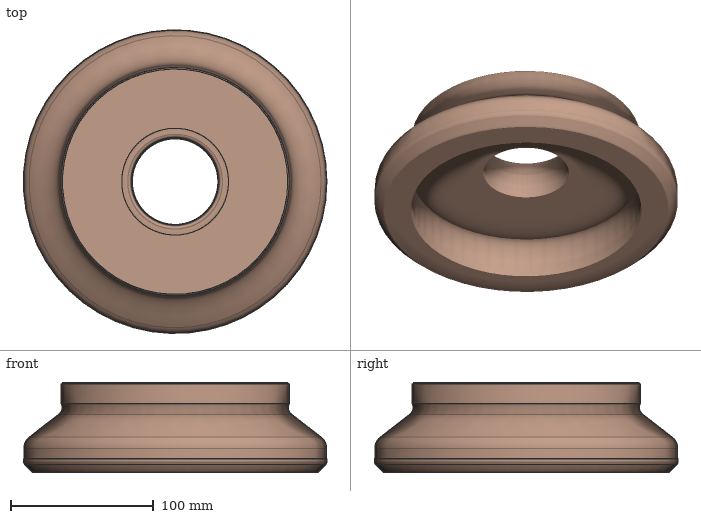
import cadquery as cq
import math

outer_diameter = 212.8
total_height = 63.0
outer_radius = outer_diameter / 2

hub_radius = 80.0
hub_edge_chamfer = 1.0
hub_wall_height = 14.7
hub_foot_bevel_width = 0.2
hub_thickness = 31.3

flank_angle = 37.5
neck_radius = 79.4
neck_arc_radius = 6.0
neck_arc_center_z = 45.5
shoulder_arc_radius = 9.8
shoulder_bottom_z = 17.0

seat_radius = 37.5
seat_depth = 0.5

bore_radius = 30.0
relief_radius = 30.5
mouth_radius = 31.0
mouth_fillet = 2.1
lead_in_depth = 7.0
relief_depth = 12.0

cavity_radius = 80.9
ring_height = 10.0
rim_setback = 0.2
ring_top_bevel = 0.6
ring_band_bottom_z = 7.5
ring_easing_z = 6.5
ring_easing_inset = 0.2
ring_bevel_top_z = 5.7
ring_bevel_inset = 0.6
ring_bevel_angle = 45.0
ring_foot_height = 0.6
ring_foot_width = 0.9

hub_foot_z = total_height - hub_wall_height
hub_floor_z = total_height - hub_thickness
seat_z = total_height - seat_depth
rim_radius = outer_radius - rim_setback


def arc_point(center, radius, angle):
    """Return the (r, z) point of an arc at an angle in degrees from the outward direction."""
    turn = math.radians(angle)
    return (center[0] + radius * math.cos(turn), center[1] + radius * math.sin(turn))


def revolve_profile(profile):
    """Turn a closed (r, z) profile a full revolution about the Z axis."""
    return profile.revolve(360, (0, 0, 0), (0, 1, 0))


def make_body():
    """Flanged wheel body with hub, flared flank, stepped bore and open cavity below."""
    neck_start_radius = hub_radius - hub_foot_bevel_width
    neck_center = (neck_radius + neck_arc_radius, neck_arc_center_z)
    neck_start_cosine = (neck_center[0] - neck_start_radius) / neck_arc_radius
    neck_start_angle = 180 - math.degrees(math.acos(neck_start_cosine))
    neck_end_angle = 270 - flank_angle
    neck_middle_angle = (neck_start_angle + neck_end_angle) / 2

    shoulder_center = (rim_radius - shoulder_arc_radius, shoulder_bottom_z)
    shoulder_start_angle = 90 - flank_angle

    mouth_center = (mouth_radius + mouth_fillet, seat_z - mouth_fillet)
    mouth_middle_angle = (90 + 180) / 2

    profile = (
        cq.Workplane("XZ")
        .moveTo(seat_radius, total_height)
        .lineTo(hub_radius - hub_edge_chamfer, total_height)
        .lineTo(hub_radius, total_height - hub_edge_chamfer)
        .lineTo(hub_radius, hub_foot_z)
        .lineTo(*arc_point(neck_center, neck_arc_radius, neck_start_angle))
        .threePointArc(
            arc_point(neck_center, neck_arc_radius, neck_middle_angle),
            arc_point(neck_center, neck_arc_radius, neck_end_angle),
        )
        .lineTo(*arc_point(shoulder_center, shoulder_arc_radius, shoulder_start_angle))
        .threePointArc(
            arc_point(shoulder_center, shoulder_arc_radius, shoulder_start_angle / 2),
            (rim_radius, shoulder_bottom_z),
        )
        .lineTo(rim_radius, ring_height)
        .lineTo(cavity_radius, ring_height)
        .lineTo(cavity_radius, hub_floor_z)
        .lineTo(bore_radius, hub_floor_z)
        .lineTo(bore_radius, total_height - relief_depth)
        .lineTo(relief_radius, total_height - relief_depth)
        .lineTo(relief_radius, total_height - lead_in_depth)
        .lineTo(mouth_radius, seat_z - mouth_fillet)
        .threePointArc(
            arc_point(mouth_center, mouth_fillet, mouth_middle_angle),
            (mouth_radius + mouth_fillet, seat_z),
        )
        .lineTo(seat_radius, seat_z)
        .close()
    )
    return revolve_profile(profile)


def make_ring():
    """Grinding ring with a narrow outer band, eased in two steps into a bevelled lower edge."""
    bevel_top_radius = outer_radius - ring_bevel_inset
    bevel_drop = ring_bevel_top_z - ring_foot_height
    bevel_bottom_radius = bevel_top_radius - bevel_drop / math.tan(math.radians(ring_bevel_angle))

    profile = (
        cq.Workplane("XZ")
        .moveTo(cavity_radius, 0)
        .lineTo(bevel_bottom_radius - ring_foot_width, 0)
        .lineTo(bevel_bottom_radius, ring_foot_height)
        .lineTo(bevel_top_radius, ring_bevel_top_z)
        .lineTo(outer_radius - ring_easing_inset, ring_easing_z)
        .lineTo(outer_radius, ring_band_bottom_z)
        .lineTo(outer_radius, ring_height - ring_top_bevel)
        .lineTo(rim_radius, ring_height)
        .lineTo(cavity_radius, ring_height)
        .close()
    )
    return revolve_profile(profile)


body = make_body()
ring = make_ring()
result = cq.Compound.makeCompound([body.val(), ring.val()])